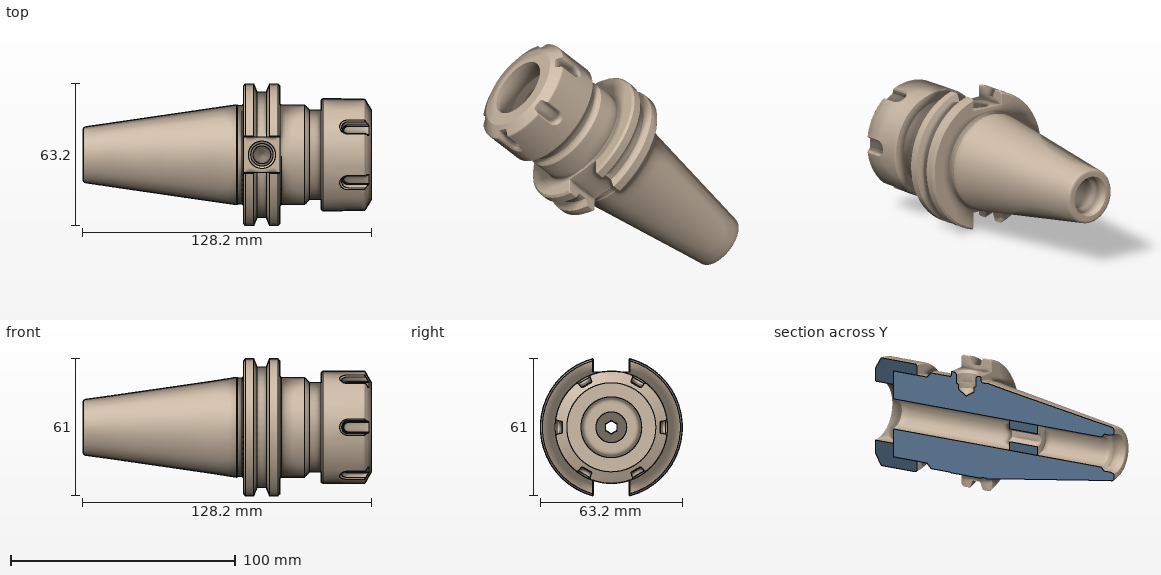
import cadquery as cq
import math

overall_length = 128.2

cut_clearance = 0.6
match_tolerance = 0.001

taper_small_diameter = 24.6
taper_gauge_diameter = 44.5
taper_length = 68.2
taper_tip_fillet = 1.4
relief_diameter = 44.0
relief_step_length = 0.5

flange_root_fillet = 0.6

flange_diameter = 63.2
flange_start = 71.3
flange_end = 87.5
flange_edge_chamfer = 0.9
groove_floor_diameter = 56.0
groove_floor_start = 77.3
groove_floor_end = 81.4
groove_side_length = 1.5
drive_slot_width = 15.9
top_slot_floor = 24.6
bottom_slot_floor = 22.5
drive_slot_edge_chamfer = 0.4

orientation_hole_center = 79.5
orientation_countersink_diameter = 12.2
orientation_thread_diameter = 10.0
orientation_thread_depth = 5.1
orientation_drill_diameter = 8.0
orientation_drill_depth = 7.7
drill_point_angle = 118.0

collar_diameter = 44.5
nose_diameter = 40.0
collar_end = 98.3
nose_start = collar_end + (collar_diameter - nose_diameter) / 2
nose_end = 118.6

bore_mouth_diameter = 18.2
bore_pilot_diameter = 16.9
bore_diameter = 13.7
mouth_taper_length = 2.2
pilot_end = 5.4

screw_start = 41.0
screw_length = 15.4
screw_hex_across_flats = 5.0
screw_countersink_diameter = 6.2

nut_diameter = 50.0
nut_start = 105.8
nut_rear_chamfer = 0.8
nut_face_diameter = 39.6
nut_face_angle = 30.0
nut_edge_fillet = 0.9
nut_opening_diameter = 27.0
wrench_slot_count = 6
wrench_slot_first_angle = 90.0
wrench_slot_center = 118.0
wrench_slot_floor = 21.7
wrench_slot_floor_width = 4.2
wrench_slot_wall_bottom = 21.9
wrench_slot_wall_bottom_width = 5.3
wrench_slot_wall_top = 24.1
wrench_slot_wall_top_width = 6.0
wrench_slot_mouth = 24.7
wrench_slot_mouth_width = 7.3


def revolve_about_x(points):
    """Solid of revolution about X from (x, radius) points."""
    return cq.Workplane("XY").polyline(points).close().revolve(360, (0, 0, 0), (1, 0, 0))


def x_cylinder(diameter, start, end):
    """Cylinder about the X axis between two x positions."""
    return cq.Workplane("YZ", origin=(start, 0, 0)).circle(diameter / 2).extrude(end - start)


def shank_body():
    """Taper and the relieved neck behind the flange."""
    small_radius = taper_small_diameter / 2
    gauge_radius = taper_gauge_diameter / 2
    relief_radius = relief_diameter / 2
    relief_start = taper_length + relief_step_length
    profile = (
        cq.Workplane("XY")
        .lineTo(0, small_radius)
        .lineTo(taper_length, gauge_radius)
        .lineTo(relief_start, relief_radius)
        .lineTo(flange_start - flange_root_fillet, relief_radius)
        .radiusArc((flange_start, relief_radius + flange_root_fillet), -flange_root_fillet)
        .lineTo(flange_start, 0)
        .close()
    )
    shank = profile.revolve(360, (0, 0, 0), (1, 0, 0))
    return shank.faces("<X").edges().fillet(taper_tip_fillet)


def drive_slot(floor_height, outward):
    """Box that cuts one drive slot; outward is +1 for the top slot and -1 for the bottom one."""
    depth = flange_diameter / 2
    middle = outward * (floor_height + depth / 2)
    return (
        cq.Workplane("XY", origin=((flange_start + flange_end) / 2, 0, middle))
        .box(flange_end - flange_start, drive_slot_width, depth)
    )


def flange_disc():
    """Plain flange with both rims chamfered."""
    return (
        x_cylinder(flange_diameter, flange_start, flange_end)
        .edges()
        .chamfer(flange_edge_chamfer)
    )


def gripper_groove():
    """V-sided ring that cuts the groove around the flange."""
    outer = flange_diameter / 2
    floor = groove_floor_diameter / 2
    return revolve_about_x([
        (groove_floor_start - groove_side_length, outer),
        (groove_floor_start, floor),
        (groove_floor_end, floor),
        (groove_floor_end + groove_side_length, outer),
    ])


def is_slot_wall_rim(edge):
    """True for the edges that bound a drive slot wall, except the one along the slot floor."""
    center = edge.Center()
    on_wall = math.isclose(abs(center.y), drive_slot_width / 2, abs_tol=match_tolerance)
    on_top_floor = math.isclose(center.z, top_slot_floor, abs_tol=match_tolerance)
    on_bottom_floor = math.isclose(center.z, -bottom_slot_floor, abs_tol=match_tolerance)
    return on_wall and not (on_top_floor or on_bottom_floor)


def flange_body():
    """Disc with two drive slots; the slot wall rims are chamfered before the groove is cut."""
    flange = flange_disc().cut(drive_slot(top_slot_floor, 1)).cut(drive_slot(bottom_slot_floor, -1))
    flange = flange.edges().filter(is_slot_wall_rim).chamfer(drive_slot_edge_chamfer)
    return flange.cut(gripper_groove())


def orientation_hole():
    """Countersunk, stepped blind hole with a drill point, cut down from the top slot floor."""
    countersink_radius = orientation_countersink_diameter / 2
    thread_radius = orientation_thread_diameter / 2
    drill_radius = orientation_drill_diameter / 2
    point_length = drill_radius / math.tan(math.radians(drill_point_angle / 2))
    profile = [
        (0, 0),
        (countersink_radius, 0),
        (thread_radius, thread_radius - countersink_radius),
        (thread_radius, -orientation_thread_depth),
        (drill_radius, -orientation_thread_depth),
        (drill_radius, -orientation_drill_depth),
        (0, -orientation_drill_depth - point_length),
    ]
    return (
        cq.Workplane("XZ", origin=(orientation_hole_center, 0, top_slot_floor))
        .polyline(profile).close().revolve(360, (0, 0, 0), (0, 1, 0))
    )


def front_body():
    """Collar with a filleted root at the flange, then the nose that carries the nut."""
    collar_radius = collar_diameter / 2
    nose_radius = nose_diameter / 2
    profile = (
        cq.Workplane("XY")
        .moveTo(flange_end, 0)
        .lineTo(flange_end, collar_radius + flange_root_fillet)
        .radiusArc((flange_end + flange_root_fillet, collar_radius), -flange_root_fillet)
        .lineTo(collar_end, collar_radius)
        .lineTo(nose_start, nose_radius)
        .lineTo(nose_end, nose_radius)
        .lineTo(nose_end, 0)
        .close()
    )
    return profile.revolve(360, (0, 0, 0), (1, 0, 0))


def holder_bore():
    """Through bore with a tapered mouth, a short pilot and a conical step."""
    pilot_radius = bore_pilot_diameter / 2
    bore_radius = bore_diameter / 2
    return revolve_about_x([
        (0, 0),
        (0, bore_mouth_diameter / 2),
        (mouth_taper_length, pilot_radius),
        (pilot_end, pilot_radius),
        (pilot_end + pilot_radius - bore_radius, bore_radius),
        (nose_end, bore_radius),
        (nose_end, 0),
    ])


def make_holder():
    """Shank, flange and nose as one solid, with the orientation hole and the bore."""
    holder = shank_body().union(flange_body()).union(front_body())
    return holder.cut(orientation_hole()).cut(holder_bore())


def make_set_screw():
    """Plain cylinder filling the bore, with a hexagonal hole right through it."""
    screw = x_cylinder(bore_diameter, screw_start, screw_start + screw_length)
    across_corners = screw_hex_across_flats / math.cos(math.pi / 6)
    hexagon = (
        cq.Workplane("YZ", origin=(screw_start, 0, 0))
        .transformed(rotate=(0, 0, 90))
        .polygon(6, across_corners)
        .extrude(screw_length)
    )
    countersink_radius = screw_countersink_diameter / 2
    countersink = revolve_about_x([
        (screw_start, 0),
        (screw_start, countersink_radius),
        (screw_start + countersink_radius, 0),
    ])
    return screw.cut(hexagon).cut(countersink)


def rounded_slot(half_width, height):
    """Slot outline on a plane at the given height, running from its round end past the nut face."""
    run_out = overall_length - wrench_slot_center + cut_clearance
    return (
        cq.Workplane("XY", origin=(wrench_slot_center, 0, height))
        .moveTo(run_out, half_width)
        .lineTo(0, half_width)
        .threePointArc((-half_width, 0), (0, -half_width))
        .lineTo(run_out, -half_width)
        .close()
    )


def slot_stage(bottom, bottom_width, top, top_width, rise):
    """Stage of the slot cutter whose sides lean so that it widens from bottom to top over its rise."""
    lean = math.degrees(math.atan2((top_width - bottom_width) / 2, top - bottom))
    return rounded_slot(bottom_width / 2, bottom).extrude(rise, taper=-lean)


def wrench_slot():
    """Slot cutter at the top of the nut: beveled floor edge, leaning walls and a flared mouth."""
    bevel = slot_stage(
        wrench_slot_floor, wrench_slot_floor_width,
        wrench_slot_wall_bottom, wrench_slot_wall_bottom_width,
        wrench_slot_wall_bottom - wrench_slot_floor,
    )
    walls = slot_stage(
        wrench_slot_wall_bottom, wrench_slot_wall_bottom_width,
        wrench_slot_wall_top, wrench_slot_wall_top_width,
        wrench_slot_wall_top - wrench_slot_wall_bottom,
    )
    clear_of_nut = nut_diameter / 2 + cut_clearance
    mouth = slot_stage(
        wrench_slot_wall_top, wrench_slot_wall_top_width,
        wrench_slot_mouth, wrench_slot_mouth_width,
        clear_of_nut - wrench_slot_wall_top,
    )
    return bevel.union(walls).union(mouth)


def make_nut():
    """Cap over the nose with a conical front, a round opening and wrench slots around it."""
    outer = nut_diameter / 2
    face_radius = nut_face_diameter / 2
    shoulder_x = overall_length - (outer - face_radius) * math.tan(math.radians(nut_face_angle))
    nut = revolve_about_x([
        (nut_start, 0),
        (nut_start, outer - nut_rear_chamfer),
        (nut_start + nut_rear_chamfer, outer),
        (shoulder_x, outer),
        (overall_length, face_radius),
        (overall_length, 0),
    ])
    nut = nut.edges(cq.selectors.NearestToPointSelector((shoulder_x, 0, 0))).fillet(nut_edge_fillet)
    nut = nut.cut(x_cylinder(nose_diameter, nut_start, nose_end))
    nut = nut.cut(x_cylinder(nut_opening_diameter, nose_end, overall_length))
    for index in range(wrench_slot_count):
        angle = wrench_slot_first_angle + index * 360 / wrench_slot_count
        nut = nut.cut(wrench_slot().rotate((0, 0, 0), (1, 0, 0), angle))
    return nut


holder = make_holder()
set_screw = make_set_screw()
nut = make_nut()

result = cq.Compound.makeCompound([holder.val(), set_screw.val(), nut.val()])